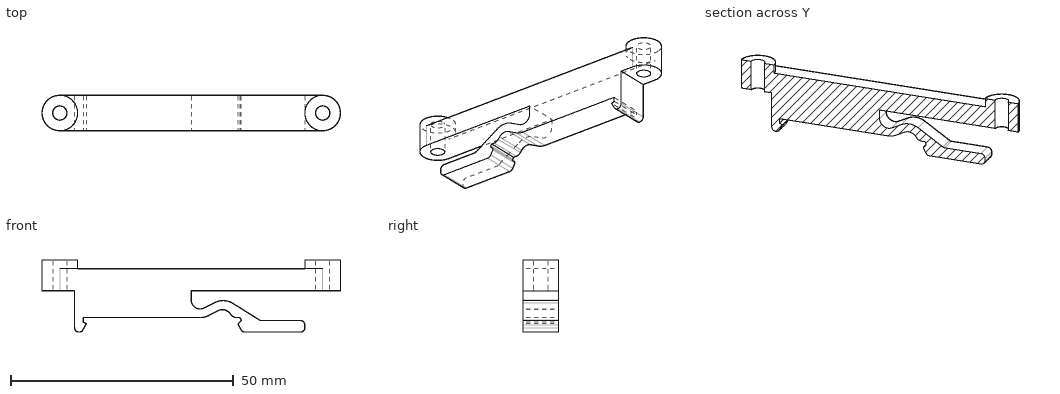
import cadquery as cq
import math

WIDTH = 8.0
BOSS_DIAMETER = WIDTH
BOSS_SPACING = 59.0
BOSS_HEIGHT = 7.0
SCREW_HOLE_DIAMETER = 3.15
BAR_HEIGHT = 5.0
BODY_DEPTH = 6.0
HOOK_DROP = 3.25

BODY_BOTTOM = HOOK_DROP
BAR_BOTTOM = BODY_BOTTOM + BODY_DEPTH
BAR_TOP = BAR_BOTTOM + BAR_HEIGHT
BAR_END = BOSS_SPACING / 2

HOOK_THICKNESS = 2.0
HOOK_INNER_X = -24.2
HOOK_OUTER_X = HOOK_INNER_X - HOOK_THICKNESS
HOOK_ROUND = HOOK_THICKNESS / 2
HOOK_BARB = 0.7
BARB_TIP_Z = 1.95
BARB_ROOT_Z = 2.25
BARB_ANGLE = math.radians(61)

ARM_THICKNESS = 2.0
ARM_ANGLE = math.radians(27)
ROOT_INNER_RADIUS = 2.0
ROOT_OUTER_RADIUS = ROOT_INNER_RADIUS + ARM_THICKNESS
CREST_INNER_RADIUS = 2.1
CREST_OUTER_RADIUS = CREST_INNER_RADIUS + ARM_THICKNESS
DESCENT_ANGLE = math.radians(32)
INNER_DESCENT_ANGLE = math.radians(51)
INNER_DESCENT_FOOT_X = 9.45
FOOT_RADIUS = 1.5

LEVER_THICKNESS = 2.65
LEVER_START_X = 15.5
LEVER_END_X = 25.5
LEVER_ROUND = 1.0
LEVER_BLEND = 0.8
NOTCH_EDGE_X = 10.9
NOTCH_ROOT_X = 11.25
NOTCH_ROUND = 0.3
LATCH_TIP_X = 10.45
LATCH_TIP_Z = 1.85
LATCH_TIP_ROUND = 0.3
LATCH_HEEL_X = 11.45
LATCH_HEEL_ROUND = 1.0


def crossing(point_a, slope_a, point_b, slope_b):
    """Crossing of two sloped lines, each given by a point and its slope."""
    (xa, za), (xb, zb) = point_a, point_b
    x = (zb - za + slope_a * xa - slope_b * xb) / (slope_a - slope_b)
    return x, za + slope_a * (x - xa)


def rounded_outline(corners):
    """Closed XZ outline from (point, radius) corners; radius 0, as on the first, is sharp."""
    stops = []
    for index, (point, radius) in enumerate(corners):
        corner = cq.Vector(*point)
        if radius == 0:
            stops.append((corner,))
            continue
        to_previous = (cq.Vector(*corners[index - 1][0]) - corner).normalized()
        to_next = (cq.Vector(*corners[(index + 1) % len(corners)][0]) - corner).normalized()
        half_angle = to_previous.getAngle(to_next) / 2
        tangent_length = radius / math.tan(half_angle)
        apex_distance = radius / math.sin(half_angle) - radius
        bisector = (to_previous + to_next).normalized()
        start = corner + to_previous * tangent_length
        middle = corner + bisector * apex_distance
        end = corner + to_next * tangent_length
        stops.append((start, middle, end))

    outline = cq.Workplane("XZ").moveTo(*stops[0][0].toTuple()[:2])
    for stop in stops[1:]:
        outline = outline.lineTo(*stop[0].toTuple()[:2])
        if len(stop) > 1:
            outline = outline.threePointArc(stop[1].toTuple()[:2], stop[2].toTuple()[:2])
    return outline.close()


def hook_corners():
    """Fixed hook, from the outer top corner down and round to the body underside."""
    barb_tip = (HOOK_INNER_X + HOOK_BARB, BARB_TIP_Z)
    flank_foot_x = barb_tip[0] - BARB_TIP_Z / math.tan(BARB_ANGLE)
    return [
        ((HOOK_OUTER_X, BAR_BOTTOM), 0),
        ((HOOK_OUTER_X, 0), HOOK_ROUND),
        ((flank_foot_x, 0), HOOK_ROUND),
        (barb_tip, 0),
        ((HOOK_INNER_X, BARB_ROOT_Z), 0),
        ((HOOK_INNER_X, BODY_BOTTOM), 0),
    ]


def arm_corners():
    """Arm, latch and lever, from the body underside round to the bar underside."""
    rise = math.tan(ARM_ANGLE)
    fall = -math.tan(DESCENT_ANGLE)
    inner_fall = -math.tan(INNER_DESCENT_ANGLE)

    root_center_z = BODY_BOTTOM + ARM_THICKNESS + ROOT_INNER_RADIUS
    upper_line_z = root_center_z - ROOT_INNER_RADIUS * (rise + 1 / math.cos(ARM_ANGLE))
    upper_root = (0, upper_line_z)
    lower_root = (0, upper_line_z - ARM_THICKNESS / math.cos(ARM_ANGLE))
    lever_start = (LEVER_START_X, LEVER_THICKNESS)
    foot = (INNER_DESCENT_FOOT_X, BODY_BOTTOM)

    return [
        (crossing(foot, 0, lower_root, rise), ROOT_OUTER_RADIUS),
        (crossing(lower_root, rise, foot, inner_fall), CREST_INNER_RADIUS),
        (foot, FOOT_RADIUS),
        ((NOTCH_EDGE_X, BODY_BOTTOM), 0),
        ((NOTCH_ROOT_X, LEVER_THICKNESS), NOTCH_ROUND),
        ((LATCH_TIP_X, LATCH_TIP_Z), LATCH_TIP_ROUND),
        ((LATCH_HEEL_X, 0), LATCH_HEEL_ROUND),
        ((LEVER_END_X, 0), LEVER_ROUND),
        ((LEVER_END_X, LEVER_THICKNESS), LEVER_ROUND),
        (lever_start, LEVER_BLEND),
        (crossing(upper_root, rise, lever_start, fall), CREST_OUTER_RADIUS),
        (upper_root, ROOT_INNER_RADIUS),
        ((0, BAR_BOTTOM), 0),
    ]


def bar_and_clip():
    """Full-width profile of the bar, the body with its hook, and the springy clip."""
    bar_corners = [
        ((BAR_END, BAR_BOTTOM), 0),
        ((BAR_END, BAR_TOP), 0),
        ((-BAR_END, BAR_TOP), 0),
        ((-BAR_END, BAR_BOTTOM), 0),
    ]
    outline = rounded_outline(hook_corners() + arm_corners() + bar_corners)
    return outline.extrude(WIDTH / 2, both=True)


def boss_cylinders(diameter):
    """A vertical cylinder at each end of the bar, as tall as the bosses."""
    return (
        cq.Workplane("XY", origin=(0, 0, BAR_BOTTOM))
        .rarray(BOSS_SPACING, 1, 2, 1)
        .circle(diameter / 2)
        .extrude(BOSS_HEIGHT)
    )


result = bar_and_clip().union(boss_cylinders(BOSS_DIAMETER)).cut(boss_cylinders(SCREW_HOLE_DIAMETER))